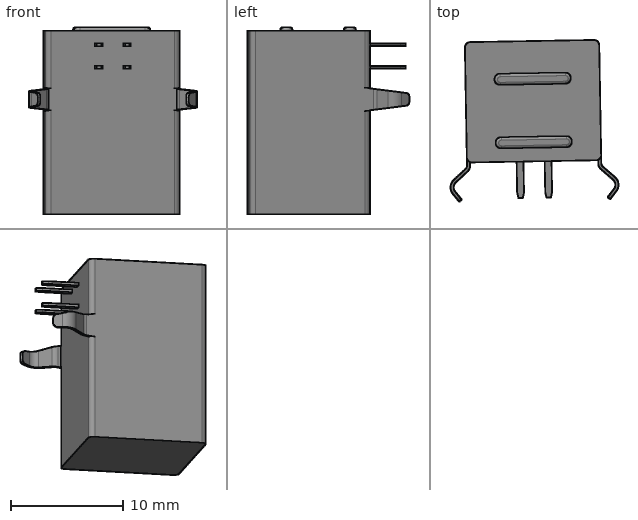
import cadquery as cq
import math

turn_angle = 1.0

total_height = 16.7
rib_height = 0.3
body_height = total_height - rib_height
body_width = 12.0
body_depth = 10.75
corner_radius = 0.5
side_x = body_width / 2
front_y = -body_depth / 2

rib_length = 6.81
rib_width = 1.0
rib_edge_radius = 0.25
rear_rib_y = 2.0
rib_spacing = 5.66

pin_width = 0.63
pin_tip_width = 0.4
pin_thickness = 0.25
pin_length = 3.25
pin_taper_length = 0.5
pin_spacing_x = 2.5
pin_spacing_z = 2.0
upper_pin_drop = 1.27
upper_pin_z = body_height - upper_pin_drop

sheet = 0.3
clip_drop = 6.13
clip_z = body_height - clip_drop
clip_straight = 0.27
flare_angle = 48.0
flare_radius = 0.4
flare_length = 1.44
return_angle = 38.0
return_radius = 0.9
tip_length = 0.94
tip_corner_radius = 0.4
clip_root_width = 2.1
clip_end_width = 1.07
clip_root_y = front_y + corner_radius
clip_reach = 4.04


def make_body():
    block = cq.Workplane("XY").box(body_width, body_depth, body_height, centered=(True, True, False))
    return block.edges("|Z").fillet(corner_radius)


def make_rib(y):
    rib = cq.Workplane("XY", origin=(0, y, body_height)).slot2D(rib_length, rib_width).extrude(rib_height)
    return rib.faces(">Z").edges().fillet(rib_edge_radius)


def make_pin(x, z):
    tip_y = front_y - pin_length
    taper_y = tip_y + pin_taper_length
    outline = [
        (x - pin_width / 2, front_y + corner_radius),
        (x - pin_width / 2, taper_y),
        (x - pin_tip_width / 2, tip_y),
        (x + pin_tip_width / 2, tip_y),
        (x + pin_width / 2, taper_y),
        (x + pin_width / 2, front_y + corner_radius),
    ]
    plane = cq.Workplane("XY", origin=(0, 0, z - pin_thickness / 2))
    return plane.polyline(outline).close().extrude(pin_thickness)


def polar(centre, radius, degrees):
    angle = math.radians(degrees)
    return (centre[0] + radius * math.cos(angle), centre[1] + radius * math.sin(angle))


flare_centre = (side_x + flare_radius, front_y - clip_straight)
flare_end = polar(flare_centre, flare_radius, 180 + flare_angle)
return_start = polar(flare_end, flare_length, flare_angle - 90)
return_centre = polar(return_start, -return_radius, flare_angle)


def clip_face_points(depth):
    """Points from root to tip along the sheet, at a depth below its outer face."""
    flare = flare_radius + depth
    back = return_radius - depth
    bend_end = polar(return_centre, back, -return_angle)
    return [
        (side_x - depth, clip_root_y),
        polar(flare_centre, flare, 180),
        polar(flare_centre, flare, 180 + flare_angle / 2),
        polar(flare_centre, flare, 180 + flare_angle),
        polar(return_centre, back, flare_angle),
        polar(return_centre, back, (flare_angle - return_angle) / 2),
        bend_end,
        polar(bend_end, tip_length, -90 - return_angle),
    ]


def trace_face(path, points):
    """Continue a path from the first point along straights and bends."""
    return (
        path.lineTo(*points[1])
        .threePointArc(points[2], points[3])
        .lineTo(*points[4])
        .threePointArc(points[5], points[6])
        .lineTo(*points[7])
    )


def make_clip():
    outer = clip_face_points(0)
    inner = clip_face_points(sheet)
    path = trace_face(cq.Workplane("XY").moveTo(*outer[0]), outer)
    path = trace_face(path.lineTo(*inner[-1]), inner[::-1])
    strip = path.close().extrude(clip_root_width)

    root = cq.Workplane("XY").box(corner_radius, corner_radius, clip_root_width, centered=False)
    root = root.translate((side_x - corner_radius, front_y, 0))
    strip = strip.union(root).translate((0, 0, clip_z - clip_root_width / 2))

    tip_y = clip_root_y - clip_reach
    taper = [
        (clip_root_y, clip_z - clip_root_width / 2),
        (tip_y, clip_z - clip_end_width / 2),
        (tip_y, clip_z + clip_end_width / 2),
        (clip_root_y, clip_z + clip_root_width / 2),
    ]
    strip = strip.intersect(cq.Workplane("YZ").polyline(taper).close().extrude(body_width))

    tip_direction = polar((0, 0), 1, -90 - return_angle)
    tip_face = strip.faces(cq.selectors.DirectionMinMaxSelector(cq.Vector(*tip_direction, 0), True))
    tip_corners = tip_face.edges("not |Z")
    return tip_corners.fillet(tip_corner_radius)


result = make_body()
for rib_y in (rear_rib_y, rear_rib_y - rib_spacing):
    result = result.union(make_rib(rib_y))
for pin_x in (-pin_spacing_x / 2, pin_spacing_x / 2):
    for pin_z in (upper_pin_z, upper_pin_z - pin_spacing_z):
        result = result.union(make_pin(pin_x, pin_z))
clip = make_clip()
result = result.union(clip).union(clip.mirror("YZ"))
result = result.rotate((0, 0, 0), (0, 0, 1), turn_angle)